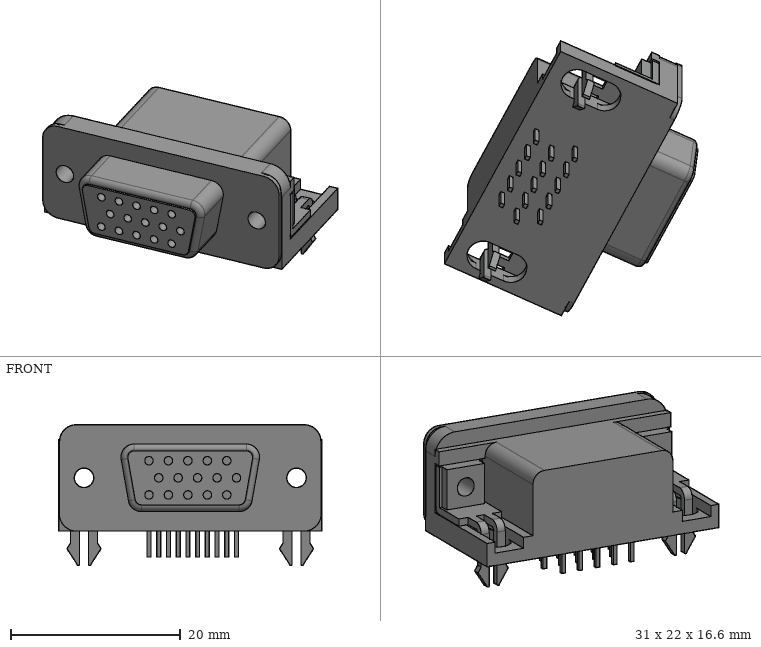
import cadquery as cq
import math


width = 30.95
flange_height = 12.55
face_plate_width = 30.8
face_plate_depth = 0.62
face_plate_corner = 2.0
flange_depth = 3.0
flange_corner = 2.63
mid_height = flange_height / 2

mount_spacing = 25.0
mount_x = mount_spacing / 2
mount_diameter = 2.25

rear_y = 15.97
hood_width = 18.7
hood_height = 10.77
hood_corner = 1.52
rib_rear_y = 4.02
rib_bottom = 9.0
ledge_height = 2.9
channel_width = 3.78
channel_floor = 1.55
slot_rear_y = 14.25
slot_front_center_y = 8.73

shell_top_width = 16.9
shell_height = 7.95
shell_slope = 10.0
shell_corner = 1.55
shell_depth = 5.8
shell_fillet = 0.7
insert_inset = 0.8
insert_depth = 6.07

contact_pitch = 2.3
contacts_per_row = 5
contact_row_pitch = 2.0
contact_diameter = 1.0
contact_depth = 3.1
contact_center_x = 0.295
row_shift = contact_pitch / 4

pin_size = 0.5
pin_length = 3.05
pin_middle_y = 11.42
pin_row_pitch = 2.55

sheet = 0.9
bracket_width = 5.73
bracket_top = 8.8
bracket_corner = 0.65
foot_rear_y = 8.73
nut_width = 5.0
nut_depth = 1.2
arm_inner = 0.53
arm_outer = 1.6
arm_rear_y = 11.95
bend_radius = 1.2
barb_outer = 2.0
barb_shoulder_z = -1.42
barb_widest_z = -2.07
tip_radius = 0.15
tip_z = -4.05


def box(x_range, y_range, z_range):
    """Box given by its lower and upper limit along each axis."""
    sides = [high - low for low, high in (x_range, y_range, z_range)]
    corner = (x_range[0], y_range[0], z_range[0])
    return cq.Workplane("XY").box(*sides, centered=False).translate(corner)


def wide_box(box_width, y_range, z_range, center_x=0.0):
    """Box centred on center_x."""
    return box((center_x - box_width / 2, center_x + box_width / 2), y_range, z_range)


def front_plane(y):
    """Plane facing the front (-Y); positive extrusion runs forward."""
    return cq.Workplane("XZ", origin=(0, y, 0))


def side_plane(x):
    """Plane with Y and Z as its axes; positive extrusion runs along +X."""
    return cq.Workplane("YZ", origin=(x, 0, 0))


def make_flange():
    """Face plate with four round corners on a block with round top corners."""
    plate = wide_box(face_plate_width, (0, face_plate_depth), (0, flange_height))
    plate = plate.edges("|Y").fillet(face_plate_corner)
    block = wide_box(width, (face_plate_depth, flange_depth), (0, flange_height))
    block = block.edges("|Y and >Z").fillet(flange_corner)
    return plate.union(block)


def make_rear_housing():
    """Hood, the rib behind the flange and the low ledges on both sides."""
    hood = wide_box(hood_width, (flange_depth, rear_y), (0, hood_height))
    hood = hood.edges("|Y and >Z").fillet(hood_corner)
    rib = wide_box(width, (flange_depth, rib_rear_y), (rib_bottom, hood_height))
    ledges = wide_box(width, (flange_depth, rear_y), (0, ledge_height))
    return hood.union(rib).union(ledges)


def make_ledge_cut(center_x):
    """Open-ended channel with a round-ended slot through its floor."""
    channel = wide_box(channel_width, (flange_depth, rear_y), (channel_floor, ledge_height), center_x)
    slot_front_y = slot_front_center_y - channel_width / 2
    slot_length = slot_rear_y - slot_front_y
    slot = (
        cq.Workplane("XY")
        .center(center_x, (slot_front_y + slot_rear_y) / 2)
        .slot2D(slot_length, channel_width, 90)
        .extrude(ledge_height)
    )
    return channel.union(slot)


def make_shell_blank(inset, depth):
    """Rounded trapezoid, wide side up, with its outline moved inward by inset."""
    top = mid_height + shell_height / 2
    bottom = mid_height - shell_height / 2
    half_top = shell_top_width / 2
    half_bottom = half_top - shell_height * math.tan(math.radians(shell_slope))
    top_mitre = 1 / math.tan(math.radians((90 - shell_slope) / 2))
    bottom_mitre = 1 / math.tan(math.radians((90 + shell_slope) / 2))
    outline = [
        (-half_bottom + inset * bottom_mitre, bottom + inset),
        (half_bottom - inset * bottom_mitre, bottom + inset),
        (half_top - inset * top_mitre, top - inset),
        (-half_top + inset * top_mitre, top - inset),
    ]
    blank = front_plane(0).polyline(outline).close().extrude(depth)
    return blank.edges("|Y").fillet(shell_corner - inset)


def staggered_rows(middle, row_pitch):
    """Points of three contact rows along X, the middle row moved half a pitch sideways."""
    half_span = (contacts_per_row - 1) * contact_pitch / 2
    points = []
    for row in (-1, 0, 1):
        shift = row_shift if row == 0 else -row_shift
        first_x = contact_center_x + shift - half_span
        points += [(first_x + i * contact_pitch, middle + row * row_pitch) for i in range(contacts_per_row)]
    return points


def make_shell():
    """Shell with a rounded front rim, and the insert with its blind contact holes."""
    shell = make_shell_blank(0, shell_depth).faces("<Y").edges().fillet(shell_fillet)
    shell = shell.union(make_shell_blank(insert_inset, insert_depth))
    holes = (
        front_plane(contact_depth - insert_depth)
        .pushPoints(staggered_rows(mid_height, contact_row_pitch))
        .circle(contact_diameter / 2)
        .extrude(contact_depth)
    )
    return shell.cut(holes)


def make_pins():
    """Square pins below the housing, one for each contact."""
    pins = cq.Workplane("XY").pushPoints(staggered_rows(pin_middle_y, pin_row_pitch))
    return pins.rect(pin_size, pin_size).extrude(-pin_length)


def make_lock_arm():
    """Right arm of a board lock about X = 0: a bent strip ending in a barb."""
    strip_top = ledge_height + sheet
    inner_bend = bend_radius - sheet
    stem_front_y = arm_rear_y - sheet
    bend_y = arm_rear_y - bend_radius
    bend_z = strip_top - bend_radius
    diagonal = math.sqrt(0.5)
    strip = (
        side_plane(arm_inner)
        .moveTo(foot_rear_y, ledge_height)
        .lineTo(foot_rear_y, strip_top)
        .lineTo(bend_y, strip_top)
        .threePointArc(
            (bend_y + bend_radius * diagonal, bend_z + bend_radius * diagonal),
            (arm_rear_y, bend_z),
        )
        .lineTo(arm_rear_y, 0)
        .lineTo(stem_front_y, 0)
        .lineTo(stem_front_y, bend_z)
        .threePointArc(
            (bend_y + inner_bend * diagonal, bend_z + inner_bend * diagonal),
            (bend_y, ledge_height),
        )
        .close()
        .extrude(arm_outer - arm_inner)
    )
    barb = (
        front_plane(arm_rear_y)
        .moveTo(arm_inner, 0)
        .lineTo(arm_outer, 0)
        .lineTo(arm_outer, barb_shoulder_z)
        .lineTo(barb_outer, barb_widest_z)
        .lineTo(arm_inner + 2 * tip_radius, tip_z + tip_radius)
        .threePointArc((arm_inner + tip_radius, tip_z), (arm_inner, tip_z + tip_radius))
        .close()
        .extrude(sheet)
    )
    return strip.union(barb)


def make_bracket():
    """L-shaped bracket about X = 0, with a nut on its upright and two lock arms."""
    upright_rear_y = flange_depth + sheet
    foot = wide_box(bracket_width, (flange_depth, foot_rear_y), (ledge_height, ledge_height + sheet))
    upright = wide_box(bracket_width, (flange_depth, upright_rear_y), (ledge_height, bracket_top))
    bracket = foot.union(upright)
    bracket = bracket.edges("|X and <Y and <Z").fillet(bracket_corner)
    nut_y = (upright_rear_y, upright_rear_y + nut_depth)
    nut = wide_box(nut_width, nut_y, (ledge_height + sheet, bracket_top))
    arm = make_lock_arm()
    return bracket.union(nut).union(arm).union(arm.mirror("YZ"))


def make_mount_hole(center_x):
    """Cylinder that reaches from the flange front through the bracket and its nut."""
    hole_end_y = flange_depth + sheet + nut_depth
    hole = front_plane(hole_end_y).center(center_x, mid_height)
    return hole.circle(mount_diameter / 2).extrude(hole_end_y)


result = make_flange().union(make_rear_housing())
for side_x in (-mount_x, mount_x):
    result = result.cut(make_ledge_cut(side_x))
    result = result.union(make_bracket().translate((side_x, 0, 0)))
    result = result.cut(make_mount_hole(side_x))
result = result.union(make_shell()).union(make_pins())